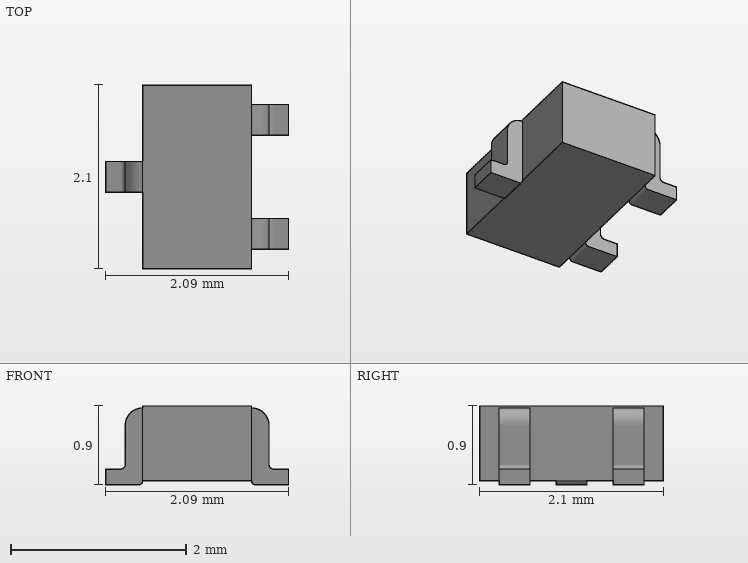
import cadquery as cq

body_length = 2.1
body_width = 1.243
overall_height = 0.9
standoff = 0.046

lead_span = 2.09
lead_width = 0.353
lead_pitch = 1.302
lead_top_gap = 0.02
stem_thickness = 0.202
foot_thickness = 0.18
inner_bend_radius = 0.05
heel_radius = 0.042
shoulder_radius = stem_thickness

body_side = body_width / 2
lead_top = overall_height - lead_top_gap


def make_lead(y_center):
    """Lead on the +X side: a stem against the body and a foot pointing outward."""
    toe_x = lead_span / 2
    stem_x = body_side + stem_thickness
    profile = (
        cq.Workplane("XZ", origin=(0, y_center, 0))
        .moveTo(body_side + heel_radius, 0)
        .lineTo(toe_x, 0)
        .lineTo(toe_x, foot_thickness)
        .lineTo(stem_x + inner_bend_radius, foot_thickness)
        .radiusArc((stem_x, foot_thickness + inner_bend_radius), inner_bend_radius)
        .lineTo(stem_x, lead_top - shoulder_radius)
        .radiusArc((body_side, lead_top), -shoulder_radius)
        .lineTo(body_side, heel_radius)
        .radiusArc((body_side + heel_radius, 0), -heel_radius)
        .close()
    )
    return profile.extrude(lead_width / 2, both=True)


result = cq.Workplane("XY", origin=(0, 0, standoff)).box(
    body_width, body_length, overall_height - standoff, centered=(True, True, False)
)

for y_center in (-lead_pitch / 2, lead_pitch / 2):
    result = result.union(make_lead(y_center))

result = result.union(make_lead(0).mirror("YZ"))